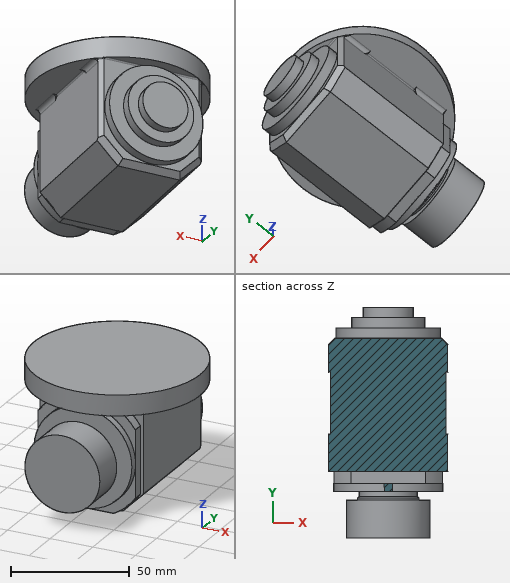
import cadquery as cq

overall_height = 58.0
flange_diameter = 78.0
flange_thickness = 9.6
flange_bottom = overall_height - flange_thickness

body_width = 48.7
body_front = -24.2
body_rear = 32.0
body_length = body_rear - body_front
body_middle = (body_front + body_rear) / 2
body_bevel = 9.8
rear_side_chamfer = 1.9
rear_lower_chamfer = 2.6
side_end = body_rear - rear_side_chamfer

root_fillet_radius = 0.6
side_fillet_radius = 1.9
relief_length = 28.6
relief_middle = 4.7
relief_end_chamfer = 1.7

axis_height = 25.1

plate_front = -29.1
plate_width = 45.8
plate_bottom = 0.5
plate_top = 48.0
plate_corner_diameter = 55.5

collar_front = -32.6
collar_diameter = 46.0
neck_front = -34.6
neck_diameter = 24.5
lip_start = -35.3
lip_diameter = 26.0
knob_rear = -36.1
knob_front = -52.1
knob_diameter = 35.2

rear_steps = [(44.0, 36.4), (30.8, 40.7), (21.2, 44.9)]


def cylinder_y(diameter, y_start, y_end):
    """Cylinder on the shaft axis between two Y positions."""
    plane = cq.Plane(origin=(0, y_start, axis_height), xDir=(1, 0, 0), normal=(0, 1, 0))
    return cq.Workplane(plane).circle(diameter / 2).extrude(y_end - y_start)


def make_flange():
    base = cq.Workplane("XY").workplane(offset=flange_bottom)
    return base.circle(flange_diameter / 2).extrude(flange_thickness)


def make_body():
    body = (
        cq.Workplane("XY")
        .box(body_width, body_length, flange_bottom, centered=(True, True, False))
        .translate((0, body_middle, 0))
    )
    body = body.edges("<Z and |Y").chamfer(body_bevel)
    lower_edges = body.faces(">Y").edges("not(|Z or >Z)")
    body = lower_edges.chamfer(rear_lower_chamfer)
    side_edges = body.faces(">Y").edges("|Z")
    return side_edges.chamfer(rear_side_chamfer)


def make_root_fillet(body):
    """Small fillet where the body sides and rear meet the flange, kept within the flange rim."""
    ceiling = (
        cq.Workplane("XY", origin=(0, body_front, flange_bottom))
        .rect(2 * flange_diameter, 4 * flange_diameter)
        .extrude(flange_thickness)
    )
    junction = cq.selectors.BoxSelector(
        (-body_width, body_front + root_fillet_radius, flange_bottom - root_fillet_radius),
        (body_width, body_rear + root_fillet_radius, flange_bottom + root_fillet_radius),
    )
    filleted = body.union(ceiling).edges(junction).fillet(root_fillet_radius)
    under_flange = (
        cq.Workplane("XY", origin=(0, 0, flange_bottom - root_fillet_radius))
        .circle(flange_diameter / 2)
        .extrude(root_fillet_radius)
    )
    return filleted.intersect(under_flange)


def make_side_fillet():
    """Concave fillet under the flange on the +X side, mitred at the rear and relieved part-way."""
    wall = body_width / 2
    fillet = (
        cq.Workplane("XZ", origin=(0, body_front, 0))
        .moveTo(wall, flange_bottom)
        .lineTo(wall + side_fillet_radius, flange_bottom)
        .radiusArc((wall, flange_bottom - side_fillet_radius), -side_fillet_radius)
        .close()
        .extrude(body_front - side_end)
    )
    mitre = (
        cq.Workplane("XY", origin=(0, 0, flange_bottom - side_fillet_radius))
        .moveTo(wall, side_end)
        .lineTo(wall + side_fillet_radius, side_end)
        .lineTo(wall + side_fillet_radius, side_end - side_fillet_radius)
        .close()
        .extrude(side_fillet_radius)
    )
    relief = (
        cq.Workplane("XY")
        .box(side_fillet_radius, relief_length, side_fillet_radius, centered=(False, True, False))
        .edges("|X and >Z")
        .chamfer(relief_end_chamfer)
        .translate((wall, relief_middle, flange_bottom - side_fillet_radius))
    )
    return fillet.cut(mitre).cut(relief)


def make_plate():
    thickness = body_front - plate_front
    plate = (
        cq.Workplane("XY")
        .box(plate_width, thickness, plate_top - plate_bottom, centered=(True, False, False))
        .translate((0, plate_front, plate_bottom))
    )
    return plate.intersect(cylinder_y(plate_corner_diameter, plate_front, body_front))


def make_front_end():
    """Collar, neck, lip and knob, revolved about the shaft axis."""
    profile = [
        (0, plate_front),
        (collar_diameter / 2, plate_front),
        (collar_diameter / 2, collar_front),
        (neck_diameter / 2, collar_front),
        (neck_diameter / 2, neck_front),
        (lip_diameter / 2, lip_start),
        (lip_diameter / 2, knob_rear),
        (knob_diameter / 2, knob_rear),
        (knob_diameter / 2, knob_front),
        (0, knob_front),
    ]
    turned = cq.Workplane("XY").polyline(profile).close().revolve(360, (0, 0), (0, 1))
    return turned.translate((0, 0, axis_height))


body = make_body()
side_fillet = make_side_fillet()
result = (
    body
    .union(make_flange())
    .union(make_root_fillet(body))
    .union(side_fillet)
    .union(side_fillet.mirror("YZ"))
    .union(make_plate())
    .union(make_front_end())
)

step_start = body_rear
for step_diameter, step_end in rear_steps:
    result = result.union(cylinder_y(step_diameter, step_start, step_end))
    step_start = step_end